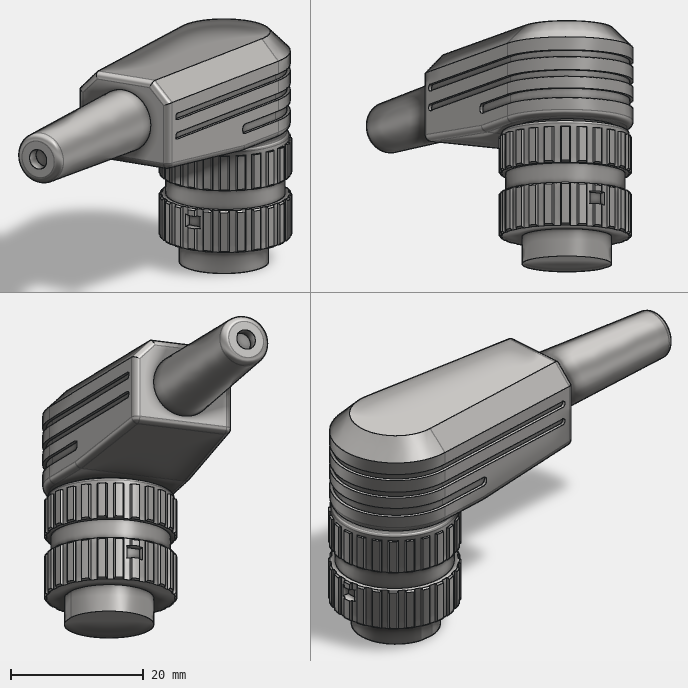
import cadquery as cq
import math


plug_diameter = 13.5
plug_flat_width = 2.3
coupling_offset_x = 0.25
groove_diameter = 18.0
root_diameter = 19.2
tip_diameter = 20.0
neck_diameter = 15.0
flange_fillet = 0.4

lower_knurl_bottom = 4.2
lower_knurl_top = 10.75
upper_knurl_bottom = 13.8
upper_knurl_top = 19.3
flange_top = 20.25

tooth_count = 24
tooth_root_width = 1.55
tooth_tip_width = 1.15
tooth_end_chamfer = 0.25

window_width = 2.5
window_height = 1.9
window_centre_z = 8.6
window_floor_diameter = 17.1

housing_bottom = 20.9
housing_top = 36.0
housing_radius = 10.0
housing_end_y = -29.4
side_taper = math.radians(4)
top_chamfer = 3.0
underside_slope = math.radians(5)
underside_slope_start_y = -9.45
housing_fillet = 0.95

grip_pitch = 3.0
grip_top_z = 30.5
long_grip_end_y = -27.5
short_grip_end_y = -10.0
grip_grooves = [
    (grip_top_z, 1.0, long_grip_end_y),
    (grip_top_z - grip_pitch, 1.0, long_grip_end_y),
    (grip_top_z - 2 * grip_pitch, 1.5, short_grip_end_y),
]
grip_depth = 0.5

overall_length = 64.3
sleeve_tip_y = housing_radius - overall_length
sleeve_axis_z = 29.2
sleeve_base_diameter = 9.65
sleeve_tip_diameter = 7.65
sleeve_tip_fillet = 1.0
cable_hole_diameter = 3.0
cable_hole_depth = 1.9

overlap = 0.65


def cylinder(diameter, bottom, top):
    """Upright cylinder between two heights."""
    return (
        cq.Workplane("XY", origin=(0, 0, bottom))
        .circle(diameter / 2)
        .extrude(top - bottom)
    )


def plug():
    """Round plug with a narrow flat on its -X side."""
    flat_x = -math.sqrt((plug_diameter / 2) ** 2 - (plug_flat_width / 2) ** 2)
    beyond_flat = (
        cq.Workplane("XY", origin=(flat_x - plug_diameter / 2, 0, 0))
        .rect(plug_diameter, plug_diameter)
        .extrude(lower_knurl_bottom)
    )
    return cylinder(plug_diameter, 0, lower_knurl_bottom + overlap).cut(beyond_flat)


def knurl_ring(bottom, top, chamfered_ends):
    """Ring with straight trapezoidal teeth, bevelled at the chosen ends.

    The teeth are built too tall and trimmed to the tip diameter.
    """
    root = root_diameter / 2
    inner = root - overlap
    tip = tip_diameter / 2 + overlap
    flank = (tooth_root_width - tooth_tip_width) / (tip_diameter - root_diameter)
    root_half = tooth_root_width / 2
    tip_half = root_half - flank * (tip - root)
    tooth = (
        cq.Workplane("XY", origin=(0, 0, bottom))
        .polyline([
            (inner, -root_half),
            (root, -root_half),
            (tip, -tip_half),
            (tip, tip_half),
            (root, root_half),
            (inner, root_half),
        ])
        .close()
        .extrude(top - bottom)
    )
    ring = cylinder(root_diameter, bottom, top)
    for i in range(tooth_count):
        ring = ring.union(tooth.rotate((0, 0, 0), (0, 0, 1), i * 360 / tooth_count))
    envelope = cylinder(tip_diameter, bottom, top)
    for end in chamfered_ends:
        envelope = envelope.faces(end).chamfer(tooth_end_chamfer)
    return ring.intersect(envelope)


def coupling():
    """Two knurled rings joined by a plain band, with a flange on top.

    The lower ring has a small rectangular window on its -Y and +Y sides.
    """
    lower = knurl_ring(lower_knurl_bottom, lower_knurl_top, ["<Z", ">Z"])
    window = (
        cq.Workplane("XY", origin=(0, 0, window_centre_z))
        .box(window_width, tip_diameter, window_height)
    )
    window_core = cylinder(window_floor_diameter, lower_knurl_bottom, lower_knurl_top)
    lower = lower.cut(window.cut(window_core))
    band = cylinder(groove_diameter, lower_knurl_top - overlap, upper_knurl_bottom + overlap)
    upper = knurl_ring(upper_knurl_bottom, upper_knurl_top, ["<Z"])
    flange = cylinder(root_diameter, upper_knurl_bottom, flange_top)
    flange = flange.faces(">Z").edges().fillet(flange_fillet)
    body = lower.union(band).union(upper).union(flange)
    return body.translate((coupling_offset_x, 0, 0))


def housing_outline(plane_z, inset=0.0):
    """Plan outline: round end with straight sides tapering towards -Y."""
    radius = housing_radius - inset
    tangent_x = radius * math.cos(side_taper)
    tangent_y = -radius * math.sin(side_taper)
    end_half = tangent_x - (tangent_y - housing_end_y) * math.tan(side_taper)
    return (
        cq.Workplane("XY", origin=(0, 0, plane_z))
        .moveTo(-end_half, housing_end_y)
        .lineTo(-tangent_x, tangent_y)
        .threePointArc((0, radius), (tangent_x, tangent_y))
        .lineTo(end_half, housing_end_y)
        .close()
    )


def grip_groove_cut():
    """Bands to remove around the side wall, each ending in a half round."""
    height = housing_top - housing_bottom
    wall = housing_outline(housing_bottom).extrude(height)
    wall = wall.cut(housing_outline(housing_bottom, grip_depth).extrude(height))
    slots = cq.Workplane("YZ", origin=(-housing_radius, 0, 0))
    for centre_z, width, end_y in grip_grooves:
        length = 2 * (housing_radius - end_y)
        slots = slots.moveTo(end_y + length / 2, centre_z).slot2D(length, width)
    return wall.intersect(slots.extrude(2 * housing_radius))


def housing():
    """Tapered shell with bevelled top, sloping underside and grip grooves."""
    body = housing_outline(housing_bottom).extrude(housing_top - housing_bottom)
    body = body.faces(">Z").edges("not(<Y)").chamfer(top_chamfer)
    slope_run = underside_slope_start_y - housing_end_y
    wedge = (
        cq.Workplane("YZ", origin=(-housing_radius, 0, 0))
        .moveTo(underside_slope_start_y, housing_bottom)
        .lineTo(housing_end_y, housing_bottom)
        .lineTo(housing_end_y, housing_bottom + slope_run * math.tan(underside_slope))
        .close()
        .extrude(2 * housing_radius)
    )
    body = body.cut(wedge)
    low_edges = cq.selectors.BoxSelector(
        (-2 * housing_radius, 2 * housing_end_y, housing_bottom - overlap),
        (2 * housing_radius, 2 * housing_radius, housing_bottom + housing_fillet),
    )
    rim = body.edges(low_edges).edges("not |X")
    body = rim.add(body.faces("<Y").edges()).fillet(housing_fillet)
    return body.cut(grip_groove_cut())


def sleeve():
    """Tapered cable sleeve with a rounded tip and a blind cable hole."""
    length = housing_end_y - sleeve_tip_y
    body = (
        cq.Workplane("XZ", origin=(0, housing_end_y, sleeve_axis_z))
        .circle(sleeve_base_diameter / 2)
        .workplane(offset=length)
        .circle(sleeve_tip_diameter / 2)
        .loft()
    )
    body = body.faces("<Y").edges().fillet(sleeve_tip_fillet)
    hole = (
        cq.Workplane("XZ", origin=(0, sleeve_tip_y + cable_hole_depth, sleeve_axis_z))
        .circle(cable_hole_diameter / 2)
        .extrude(cable_hole_depth)
    )
    return body.cut(hole)


neck = cylinder(neck_diameter, flange_top - overlap, housing_bottom + overlap)

result = (
    housing()
    .union(neck)
    .union(coupling())
    .union(plug())
    .union(sleeve())
)